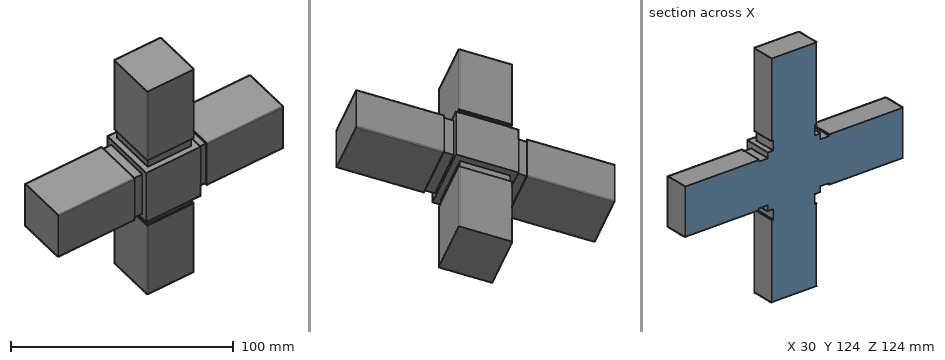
import cadquery as cq

span = 124.0
hub_side = 30.0
neck_side = 24.0
neck_length = 5.0
plug_side = 25.8
plug_edge_radius = 0.5

plug_start = hub_side / 2 + neck_length
plug_length = span / 2 - plug_start


def make_arm():
    """One arm pointing along +Z, starting at the centre of the hub."""
    neck = cq.Workplane("XY").rect(neck_side, neck_side).extrude(plug_start)
    plug = (
        cq.Workplane("XY")
        .workplane(offset=plug_start)
        .rect(plug_side, plug_side)
        .extrude(plug_length)
        .edges("|Z")
        .fillet(plug_edge_radius)
    )
    return neck.union(plug)


result = cq.Workplane("XY").box(hub_side, hub_side, hub_side)
for angle in (0, 90, 180, 270):
    result = result.union(make_arm().rotate((0, 0, 0), (1, 0, 0), angle))